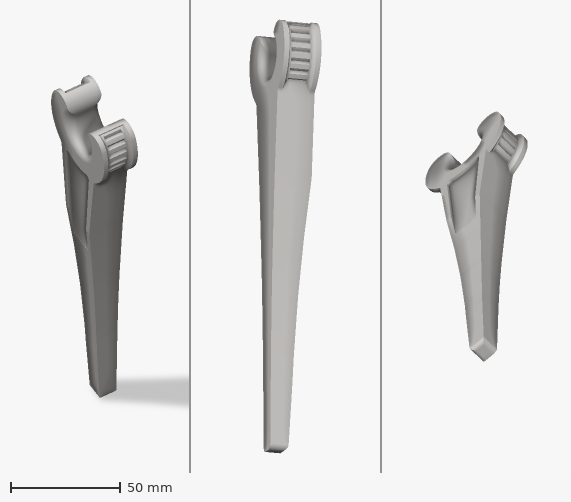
import cadquery as cq
import math

THICKNESS = 18.0
BACK_Y = THICKNESS / 2
FRONT_Y = -THICKNESS / 2
LENGTH = 200.2

HEAD_WIDTH = 47.5
HEAD_RADIUS = HEAD_WIDTH / 2
BORE_RADIUS = 9.5
TIP_RADIUS = (HEAD_RADIUS - BORE_RADIUS) / 2
TIP_ORBIT = (HEAD_RADIUS + BORE_RADIUS) / 2
BORE_Z = 186.5
TIP_Z = LENGTH - TIP_RADIUS
TIP_ANGLE = math.degrees(math.asin((TIP_Z - BORE_Z) / TIP_ORBIT))
TIP_X = TIP_ORBIT * math.cos(math.radians(TIP_ANGLE))
BORE_ROUND = 4.5
NECK_FILLET = 2.8
NECK_LOW_Z = 156.1
NECK_HIGH_Z = 172.1

ARM_TOP_Z = 176.1
BEND_Z = 128.1
SIDE_CURVE_END_Z = 45.0
FRONT_CURVE_END_Z = 32.8
ARM_SIDE = [
    (15.5, ARM_TOP_Z),
    (10.5, BEND_Z),
    (7.0, 82.0),
    (5.5, SIDE_CURVE_END_Z),
    (4.5, 0.0),
]
ARM_DEPTH = [
    (THICKNESS, BEND_Z),
    (13.2, 78.0),
    (10.6, FRONT_CURVE_END_Z),
    (8.8, 0.0),
]
BEND_FILLET = 10.0
END_ROUND = 2.5

POCKET_DEPTH = 1.9
POCKET_TOP_RADIUS = 21.0
POCKET_TOP_HALF = 10.5
POCKET_BOTTOM_HALF = 6.5
POCKET_BOTTOM_Z = 111.3
POCKET_TOP_Z = 170.1
POCKET_CORNER = 1.8

CHANNEL_DEPTH = 2.5
FLANGE_WIDTH = 2.5
FLANGE_FLARE = 1.5
CHANNEL_CLEARANCE = 3.2
CHANNEL_START_ANGLE = -60.0
CHANNEL_END_ANGLE = 94.0
NOTCH_DEPTH = 1.3
NOTCH_HALF_WIDTH = 1.5
NOTCH_LENGTH = 9.2
RIM_NOTCH_PITCH = 13.1
RIM_NOTCH_COUNT = 6
RIM_NOTCH_FIRST = -43.4
TIP_NOTCH_ANGLE = 53.0
TIP_FLOOR_RADIUS = 8.5


def polar(radius, degrees, center_x=0.0, center_z=BORE_Z):
    angle = math.radians(degrees)
    return (center_x + radius * math.cos(angle), center_z + radius * math.sin(angle))


def mirrored(point):
    return (-point[0], point[1])


def back_plane():
    return cq.Workplane("XZ", origin=(0, BACK_Y, 0))


def make_head():
    outer_end = polar(HEAD_RADIUS, TIP_ANGLE)
    inner_end = polar(BORE_RADIUS, TIP_ANGLE)
    tip_crown = polar(TIP_RADIUS, TIP_ANGLE + 90, TIP_X, TIP_Z)
    return (
        back_plane()
        .moveTo(*outer_end)
        .threePointArc(tip_crown, inner_end)
        .threePointArc(polar(BORE_RADIUS, -90), mirrored(inner_end))
        .threePointArc(mirrored(tip_crown), mirrored(outer_end))
        .threePointArc(polar(HEAD_RADIUS, -90), outer_end)
        .close()
        .extrude(THICKNESS)
    )


def make_arm_blank():
    top, bend, middle, shank, end = ARM_SIDE
    right_half = (
        back_plane()
        .moveTo(*top)
        .spline([bend, middle, shank], includeCurrent=True)
        .lineTo(*end)
        .lineTo(0, 0)
        .lineTo(0, ARM_TOP_Z)
        .close()
        .extrude(THICKNESS)
    )
    return right_half.union(right_half.mirror("YZ"))


def make_arm(blank):
    bend, middle, shank, end = [(BACK_Y - depth, z) for depth, z in ARM_DEPTH]
    depth_profile = (
        cq.Workplane("YZ")
        .moveTo(BACK_Y, ARM_TOP_Z)
        .lineTo(FRONT_Y, ARM_TOP_Z)
        .lineTo(*bend)
        .threePointArc(middle, shank)
        .lineTo(*end)
        .lineTo(BACK_Y, 0)
        .close()
        .extrude(HEAD_RADIUS, both=True)
    )
    arm = blank.intersect(depth_profile)
    at_bend = cq.selectors.NearestToPointSelector((0, FRONT_Y, BEND_Z))
    arm = arm.edges(at_bend).fillet(BEND_FILLET)
    return arm.faces("<Z").edges("|Y or <Y").fillet(END_ROUND)


def make_bore_round():
    """Cutter that rounds both mouths of the bore."""
    outer = BORE_RADIUS + BORE_ROUND
    arc_x = outer - BORE_ROUND * math.sqrt(0.5)
    arc_inset = BORE_ROUND * (1 - math.sqrt(0.5))
    one_side = (
        cq.Workplane("XY", origin=(0, 0, BORE_Z))
        .moveTo(0, FRONT_Y)
        .lineTo(outer, FRONT_Y)
        .threePointArc((arc_x, FRONT_Y + arc_inset), (BORE_RADIUS, FRONT_Y + BORE_ROUND))
        .lineTo(0, FRONT_Y + BORE_ROUND)
        .close()
        .revolve(360, (0, 0), (0, 1))
    )
    return one_side.union(one_side.mirror("XZ"))


def make_pocket():
    outline = (
        cq.Workplane("XZ", origin=(0, FRONT_Y + POCKET_DEPTH, 0))
        .moveTo(POCKET_TOP_HALF, POCKET_TOP_Z)
        .lineTo(POCKET_BOTTOM_HALF, POCKET_BOTTOM_Z)
        .lineTo(-POCKET_BOTTOM_HALF, POCKET_BOTTOM_Z)
        .lineTo(-POCKET_TOP_HALF, POCKET_TOP_Z)
        .close()
        .extrude(POCKET_DEPTH)
    )
    ring_keep = back_plane().center(0, BORE_Z).circle(POCKET_TOP_RADIUS).extrude(THICKNESS)
    return outline.cut(ring_keep).edges("|Y and >Z").fillet(POCKET_CORNER)


def channel_section(rim_radius, center_x, center_z):
    """Section through the channel, with the radius along X from the given center."""
    rim_half = THICKNESS / 2 - FLANGE_WIDTH
    floor = rim_radius - CHANNEL_DEPTH
    flare = FLANGE_FLARE / CHANNEL_DEPTH
    floor_half = rim_half - FLANGE_FLARE
    top_half = rim_half + CHANNEL_CLEARANCE * flare
    top = rim_radius + CHANNEL_CLEARANCE
    return (
        cq.Workplane("XY", origin=(center_x, 0, center_z))
        .polyline([(floor, -floor_half), (top, -top_half), (top, top_half), (floor, floor_half)])
        .close()
    )


def swept_channel(rim_radius, center_x, center_z, start, end):
    turn = channel_section(rim_radius, center_x, center_z).revolve(end - start, (0, 0), (0, -1))
    return turn.rotate((center_x, 0, center_z), (center_x, 1, center_z), -start)


def make_notch(floor_radius, degrees, center_x, center_z):
    return (
        cq.Workplane("XZ", origin=(center_x, NOTCH_LENGTH / 2, center_z))
        .polyline([
            (floor_radius - NOTCH_DEPTH, 0),
            (floor_radius, NOTCH_HALF_WIDTH),
            (floor_radius + NOTCH_DEPTH, NOTCH_HALF_WIDTH),
            (floor_radius + NOTCH_DEPTH, -NOTCH_HALF_WIDTH),
            (floor_radius, -NOTCH_HALF_WIDTH),
        ])
        .close()
        .extrude(NOTCH_LENGTH)
        .rotate((center_x, 0, center_z), (center_x, 1, center_z), -degrees)
    )


def make_grip():
    """Cutter for the channel and notches on the +X half of the rim."""
    rim_floor = HEAD_RADIUS - CHANNEL_DEPTH
    rim_channel = swept_channel(HEAD_RADIUS, 0, BORE_Z, CHANNEL_START_ANGLE, TIP_ANGLE)
    tip_channel = swept_channel(TIP_RADIUS, TIP_X, TIP_Z, TIP_ANGLE, CHANNEL_END_ANGLE)

    floor_x, floor_z = polar(rim_floor - TIP_FLOOR_RADIUS, TIP_ANGLE)
    tip_floor = back_plane().center(floor_x, floor_z).circle(TIP_FLOOR_RADIUS).extrude(THICKNESS)

    grip = rim_channel.union(tip_channel.cut(tip_floor))
    for index in range(RIM_NOTCH_COUNT):
        angle = RIM_NOTCH_FIRST + index * RIM_NOTCH_PITCH
        grip = grip.union(make_notch(rim_floor, angle, 0, BORE_Z))
    return grip.union(make_notch(TIP_FLOOR_RADIUS, TIP_NOTCH_ANGLE, floor_x, floor_z))


arm_blank = make_arm_blank()
body = make_head().union(make_arm(arm_blank))

neck_box = cq.selectors.BoxSelector(
    (-HEAD_RADIUS, FRONT_Y / 2, NECK_LOW_Z),
    (HEAD_RADIUS, BACK_Y / 2, NECK_HIGH_Z),
)
body = body.edges(neck_box).fillet(NECK_FILLET)

body = body.cut(make_bore_round()).cut(make_pocket())

grip = make_grip().cut(arm_blank)
result = body.cut(grip).cut(grip.mirror("YZ")).clean()